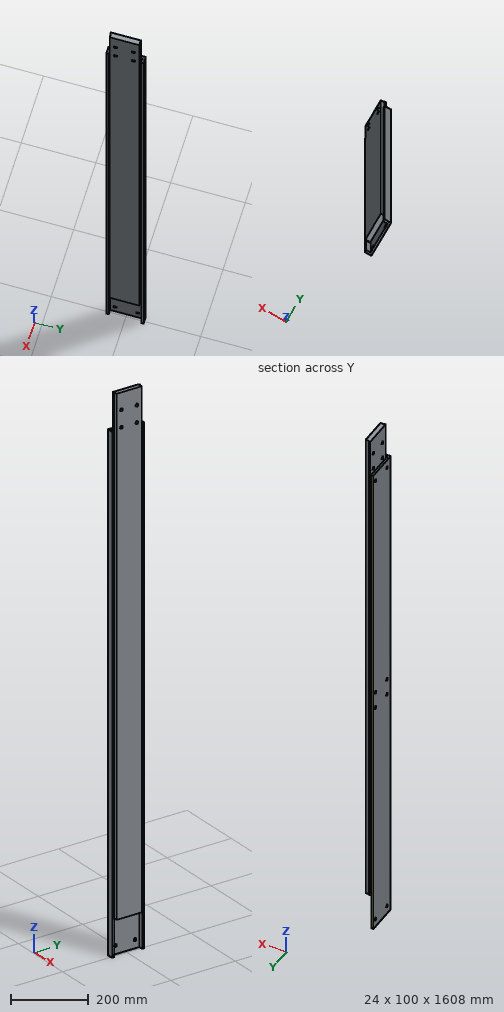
import cadquery as cq

total_height = 1608.0
extension = 108.0
rail_length = total_height - extension
total_depth = 24.0

hole_pitch = 50.0

channel_width = 100.0
channel_depth = 20.0
web_thickness = 6.0
flange_thickness = 6.0
channel_hole_diameter = 8.0
channel_hole_spacing = 61.0
channel_end_margin = hole_pitch / 2
channel_middle_offset = hole_pitch / 2

slide_width = 82.0
slide_back = 10.0
lip_thickness = 5.0
lip_overhang = 2.0
slide_hole_diameter = 8.0
slide_hole_spacing = 48.0
slide_end_margin = hole_pitch


def extrude_rail(profile, bottom):
    """Rail with a constant XY profile, starting at the given height."""
    return cq.Workplane("XY").workplane(offset=bottom).polyline(profile).close().extrude(rail_length)


def hole_cutters(heights, spacing, diameter):
    """Pairs of cylinders along X, placed symmetrically about Y = 0."""
    points = [(side * spacing / 2, height) for height in heights for side in (-1, 1)]
    return cq.Workplane("YZ").pushPoints(points).circle(diameter / 2).extrude(total_depth)


def make_channel():
    """C-shaped outer rail with mounting holes through its web."""
    inner_half = channel_width / 2 - flange_thickness
    half = channel_width / 2
    profile = [
        (0, -half),
        (channel_depth, -half),
        (channel_depth, -inner_half),
        (web_thickness, -inner_half),
        (web_thickness, inner_half),
        (channel_depth, inner_half),
        (channel_depth, half),
        (0, half),
    ]
    body = extrude_rail(profile, 0)
    middle = rail_length / 2
    heights = [
        channel_end_margin,
        middle - channel_middle_offset,
        middle + channel_middle_offset,
        rail_length - channel_end_margin,
    ]
    return body.cut(hole_cutters(heights, channel_hole_spacing, channel_hole_diameter))


def make_slide():
    """Solid inner rail with two pairs of holes in its projecting end."""
    lip_half = slide_width / 2
    core_half = lip_half - lip_overhang
    lip_front = slide_back + lip_thickness
    profile = [
        (slide_back, -lip_half),
        (lip_front, -lip_half),
        (lip_front, -core_half),
        (total_depth, -core_half),
        (total_depth, core_half),
        (lip_front, core_half),
        (lip_front, lip_half),
        (slide_back, lip_half),
    ]
    body = extrude_rail(profile, extension)
    upper_height = total_height - slide_end_margin
    heights = [upper_height - hole_pitch, upper_height]
    return body.cut(hole_cutters(heights, slide_hole_spacing, slide_hole_diameter))


channel = make_channel()
slide = make_slide()

result = cq.Compound.makeCompound([channel.val(), slide.val()])